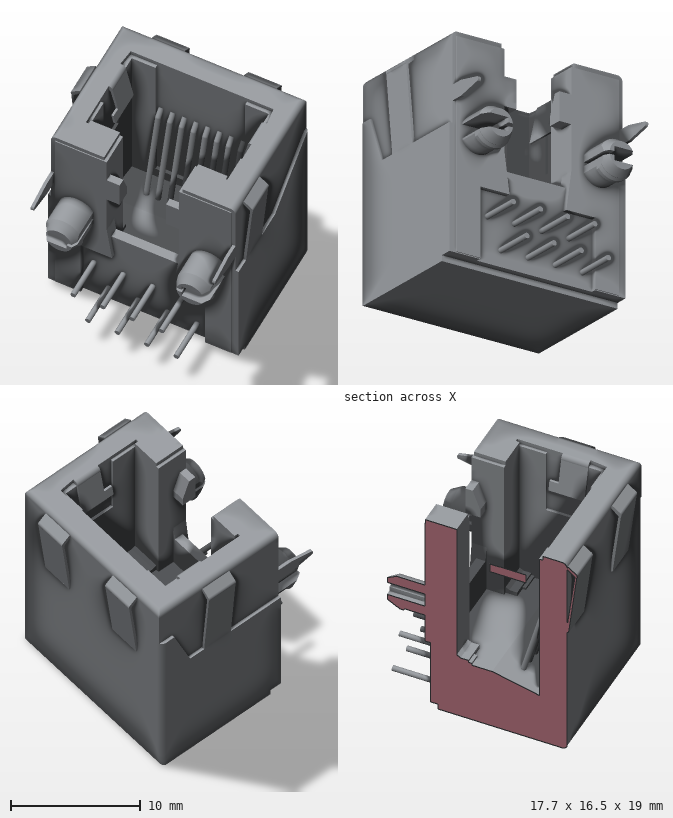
import cadquery as cq


height = 19
outer_width = 17.65
back_y = 12.16
shield_front_y = 0.08
upper_half_width = 7.96
wrapper_sheet = 0.27
lower_half_width = upper_half_width + wrapper_sheet
wrapper_low_z = 11.29
wrapper_high_z = 15.31
edge_radius = 0.48
bottom_step_height = 0.5
bottom_step_y = 1.12
wrapper_ramps = {-1: (10.85, 9.25), 1: (11.68, 6.27)}

housing_half_width = 7.6
housing_top = 18.6
housing_bottom = 0.57

cavity_half_width = 5.9
cavity_front_y = 2.77
cavity_back_y = 9.78
contact_recess_half_width = 3.88
contact_recess_y = 10.09
floor_z = 5.6
floor_edge_y = 5.8
floor_back_z = 4.67
shield_margin = 0.25
relief_y = 2.45
corner_flare = 0.17
side_pocket_y = (5.0, 7.52)
side_pocket_z = 12.9

notch_half_width = 3.12
shield_notch_half_width = 3.38
notch_taper_z = 9.88
notch_foot_z = 6.54
notch_foot_half_width = 2.66
front_wall_back_y = 1.27
front_wall_top_z = 8.6
front_panel_y = 0.48
front_panel_half_width = 5.38

latch_tab_half_gap = 2.0
latch_tab_bottom_z = 13.81
latch_tab_top_z = 16.3
latch_tab_ramp_z = 14.57
latch_tab_top_y = 0.63

tall_step_y = 3.76
tall_step_z = 5.98
tall_step_crest_z = 6.18
tall_step_ramp_y = 3.1
low_step_y = 4.05
low_step_z = 5.8
low_step_half_gap = 4.33

contact_count = 8
contact_span = 7.1
contact_pitch = contact_span / (contact_count - 1)
wire_radius = 0.23
contact_tip = (10.18, 13.2)
contact_bend = (9.61, 12.64)
contact_foot = (7.6, 5.13)
pin_count = 8
pin_span = 8.9
pin_pitch = pin_span / (pin_count - 1)
pin_end_y = -3.12
pin_row_z = (4.4, 1.88)

post_x = 5.68
post_z = 10.74
post_radius = 1.6
post_half_width = 1.4
post_end_y = -3.17
post_taper_y = -2.4
post_end_radius = 1.15
barb_radius = 1.75
barb_back_y = -1.75
barb_tip_y = -2.07
post_gap = 0.32
post_slot = 1.18
post_slot_depth = 2.13

ground_tab_sheet = 0.27
ground_tab_z = 13.8
ground_tab_height = 1.33
ground_tab_taper_y = -1.12
ground_tab_end_y = -3.42
ground_tab_tip_height = 0.38

clip_sheet = 0.25
side_clip_reach = outer_width / 2
side_clip_width = 2.7
side_clip_y = {-1: 6.48, 1: 2.7}
back_clip_reach = 13.03
back_clip_width = 2.83
back_clip_x = 3.97
back_clip_foot_z = 11.95
clip_top_z = 18.7
clip_end_gap = 0.08
clip_bend_high_z = 18.18
clip_bend_low_z = 17.82
clip_bend_setback = 0.1

spring_sheet = 0.19
spring_y = (6.35, 8.65)
spring_tip_x = 5.17
spring_tip_z = 15.7
spring_flare_y = 5.57
spring_flare_z = 16.53
spring_bend_bulge = 0.3

overlap = 0.19


def block(x, y, z):
    """Box between the given (low, high) limits."""
    size = (x[1] - x[0], y[1] - y[0], z[1] - z[0])
    return cq.Workplane("XY").box(*size, centered=False).translate((x[0], y[0], z[0]))


def side_block(side, x, y, z):
    """Box on the +X or -X side, its X limits given as distances from the middle."""
    return block(tuple(sorted((side * x[0], side * x[1]))), y, z)


def yz_prism(points, x):
    """Outline of (Y, Z) points, filled between two X limits."""
    low, high = sorted(x)
    return cq.Workplane("YZ").workplane(offset=low).polyline(points).close().extrude(high - low)


def xz_prism(points, y):
    """Outline of (X, Z) points, filled between two Y limits."""
    low, high = sorted(y)
    return cq.Workplane("XZ").workplane(offset=-high).polyline(points).close().extrude(high - low)


def rod(start, end, radius):
    """Round wire between two points."""
    first = cq.Vector(*start)
    along = cq.Vector(*end) - first
    return cq.Workplane(cq.Solid.makeCylinder(radius, along.Length, first, along))


def make_shell():
    depth = (shield_front_y, back_y)
    plan = block((-lower_half_width, lower_half_width), depth, (0, wrapper_high_z))
    plan = plan.edges("|Z and >Y").fillet(edge_radius)
    rolled = block((-lower_half_width, lower_half_width), depth, (0, wrapper_high_z))
    rolled = rolled.edges("<Z and >Y").fillet(edge_radius)
    lower = plan.intersect(rolled)
    for side, (ramp_top_y, ramp_foot_y) in wrapper_ramps.items():
        above_wrapper = [
            (0, wrapper_low_z),
            (ramp_foot_y, wrapper_low_z),
            (ramp_top_y, wrapper_high_z),
            (0, wrapper_high_z),
        ]
        sheet = (side * upper_half_width, side * (lower_half_width + overlap))
        lower = lower.cut(yz_prism(above_wrapper, sheet))
    lower = lower.cut(
        block((-lower_half_width, lower_half_width), (0, bottom_step_y), (0, bottom_step_height))
    )
    upper = block((-upper_half_width, upper_half_width), depth, (wrapper_high_z, height))
    upper = upper.faces(">Z").edges("|Y or >Y").fillet(edge_radius)
    housing_front = block(
        (-housing_half_width, housing_half_width), (0, shield_front_y), (housing_bottom, housing_top)
    )
    return lower.union(upper).union(housing_front)


def make_cavity():
    floor = [
        (cavity_front_y, floor_z),
        (floor_edge_y, floor_z),
        (cavity_back_y, floor_back_z),
        (cavity_back_y, height),
        (cavity_front_y, height),
    ]
    cavity = yz_prism(floor, (-cavity_half_width, cavity_half_width))
    recess = block(
        (-contact_recess_half_width, contact_recess_half_width),
        (cavity_back_y - overlap, contact_recess_y),
        (floor_z, height),
    )
    cavity = cavity.union(recess)
    for side in (-1, 1):
        pocket = side_block(
            side,
            (cavity_half_width - overlap, cavity_half_width + shield_margin),
            side_pocket_y,
            (side_pocket_z, height),
        )
        cavity = cavity.union(pocket)
    return cavity


def make_shield_opening():
    outer = cavity_half_width + shield_margin
    half_outline = [
        (outer, contact_recess_y),
        (outer + corner_flare, spring_y[1]),
        (outer, spring_y[1]),
        (outer, relief_y),
        (cavity_half_width, relief_y),
        (cavity_half_width, cavity_front_y),
        (shield_notch_half_width, cavity_front_y),
        (shield_notch_half_width, 0),
    ]
    mirrored = [(-x, y) for x, y in reversed(half_outline)]
    plane = cq.Workplane("XY").workplane(offset=housing_top)
    return plane.polyline(half_outline + mirrored).close().extrude(height - housing_top)


def make_latch_notch():
    behind_wall = block(
        (-notch_half_width, notch_half_width),
        (front_wall_back_y, cavity_front_y + overlap),
        (floor_z, height),
    )
    half_outline = [
        (notch_half_width, height),
        (notch_half_width, notch_taper_z),
        (notch_foot_half_width, notch_foot_z),
    ]
    mirrored = [(-x, z) for x, z in reversed(half_outline)]
    front = xz_prism(half_outline + mirrored, (0, front_wall_back_y))
    panel = block(
        (-front_panel_half_width, front_panel_half_width), (0, front_panel_y), (0, notch_foot_z)
    )
    return behind_wall.union(front).union(panel)


def make_front_wall():
    return block(
        (-notch_half_width, notch_half_width),
        (front_panel_y, front_wall_back_y),
        (floor_z, front_wall_top_z),
    )


def make_latch_tab(side):
    profile = [
        (0, latch_tab_bottom_z),
        (front_wall_back_y, latch_tab_bottom_z),
        (front_wall_back_y, latch_tab_ramp_z),
        (latch_tab_top_y, latch_tab_top_z),
        (0, latch_tab_top_z),
    ]
    return yz_prism(profile, (side * latch_tab_half_gap, side * (notch_half_width + overlap)))


def make_floor_steps(side):
    base_z = floor_z - overlap
    tall = [
        (cavity_front_y, base_z),
        (tall_step_y, base_z),
        (tall_step_y, tall_step_z),
        (tall_step_ramp_y, tall_step_z),
        (cavity_front_y, tall_step_crest_z),
    ]
    steps = yz_prism(tall, (side * shield_notch_half_width, side * cavity_half_width))
    low = side_block(
        side, (low_step_half_gap, cavity_half_width), (tall_step_y, low_step_y), (base_z, low_step_z)
    )
    return steps.union(low)


def make_contact(x):
    tip = (x, *contact_tip)
    bend = (x, *contact_bend)
    foot = (x, *contact_foot)
    knuckle = cq.Workplane("XY").sphere(wire_radius).translate(bend)
    return rod(tip, bend, wire_radius).union(rod(bend, foot, wire_radius)).union(knuckle)


def make_solder_pin(x, z):
    return rod((x, front_panel_y + overlap, z), (x, pin_end_y, z), wire_radius)


def make_post(side):
    """Split round post with flat sides, barbed on its lower half."""
    plain = [
        (0, overlap),
        (post_radius, overlap),
        (post_radius, post_taper_y),
        (post_end_radius, post_end_y),
        (0, post_end_y),
    ]
    barb = [
        (0, barb_back_y),
        (barb_radius, barb_back_y),
        (barb_radius, barb_tip_y),
        (post_end_radius, post_end_y),
        (0, post_end_y),
    ]
    sides = (-post_half_width, post_half_width)
    length = (post_end_y, overlap)
    shaft = cq.Workplane("XY").polyline(plain).close().revolve(360, (0, 0), (0, 1))
    shaft = shaft.intersect(block(sides, length, (-post_radius, post_radius)))
    lower_barb = cq.Workplane("XY").polyline(barb).close().revolve(360, (0, 0), (0, 1))
    lower_barb = lower_barb.intersect(block(sides, length, (-barb_radius, 0)))
    gap = block(sides, (post_end_y, 0), (-post_gap / 2, post_gap / 2))
    slot = side_block(
        side,
        (post_half_width - post_slot_depth, post_half_width),
        (post_end_y, 0),
        (-post_slot / 2, post_slot / 2),
    )
    post = shaft.union(lower_barb).cut(gap).cut(slot)
    return post.translate((side * post_x, 0, post_z))


def make_ground_tab(side):
    tip = ground_tab_tip_height / 2
    half = ground_tab_height / 2
    outline = (
        cq.Workplane("YZ")
        .workplane(offset=upper_half_width - ground_tab_sheet)
        .moveTo(shield_front_y + overlap, ground_tab_z - half)
        .lineTo(ground_tab_taper_y, ground_tab_z - half)
        .lineTo(ground_tab_end_y + tip / 2, ground_tab_z - tip)
        .threePointArc((ground_tab_end_y, ground_tab_z), (ground_tab_end_y + tip / 2, ground_tab_z + tip))
        .lineTo(ground_tab_taper_y, ground_tab_z + half)
        .lineTo(shield_front_y + overlap, ground_tab_z + half)
        .close()
    )
    tab = outline.extrude(ground_tab_sheet)
    return tab if side > 0 else tab.mirror("YZ")


def clip_strip(plane, side, face, foot, reach, foot_z, width):
    """Bent strip, rounded at its bend, centred on a plane whose first axis points out of the shield."""
    return (
        cq.Workplane(plane)
        .moveTo(side * foot, foot_z)
        .lineTo(side * (reach - clip_bend_setback / 2), clip_bend_low_z)
        .threePointArc(
            (side * reach, (clip_bend_low_z + clip_bend_high_z) / 2),
            (side * (reach - clip_bend_setback), clip_bend_high_z),
        )
        .lineTo(side * (face + clip_end_gap), clip_top_z)
        .lineTo(side * (face - clip_end_gap), clip_top_z - clip_sheet)
        .lineTo(side * (reach - clip_sheet), clip_bend_low_z)
        .lineTo(side * (foot - clip_sheet), foot_z)
        .close()
        .extrude(width / 2, both=True)
    )


def make_side_clip(side):
    clip = clip_strip(
        "XZ", side, upper_half_width, lower_half_width, side_clip_reach, wrapper_low_z, side_clip_width
    )
    return clip.translate((0, side_clip_y[side], 0))


def make_back_clip(side):
    foot_y = back_y + clip_sheet / 2
    clip = clip_strip("YZ", 1, back_y, foot_y, back_clip_reach, back_clip_foot_z, back_clip_width)
    return clip.translate((side * back_clip_x, 0, 0))


def make_inner_spring(side):
    root_x = cavity_half_width + shield_margin
    bend_x = cavity_half_width - spring_sheet / 2
    middle_y = sum(spring_y) / 2
    bend_middle = (
        bend_x + spring_bend_bulge * (root_x - bend_x),
        height - spring_bend_bulge * (height - housing_top),
    )
    spring = (
        cq.Workplane("XZ")
        .moveTo(root_x + overlap, height)
        .lineTo(root_x, height)
        .threePointArc(bend_middle, (bend_x, housing_top))
        .lineTo(spring_tip_x, spring_tip_z)
        .lineTo(spring_tip_x + spring_sheet, spring_tip_z)
        .lineTo(bend_x + spring_sheet, housing_top - spring_sheet)
        .lineTo(root_x + overlap, housing_top)
        .close()
        .extrude((spring_y[1] - spring_y[0]) / 2, both=True)
        .translate((0, middle_y, 0))
    )
    slope = (bend_x - spring_tip_x) / (housing_top - spring_tip_z)
    flare_top_x = spring_tip_x + slope * (spring_flare_z - spring_tip_z)
    flare = [
        (spring_tip_x, spring_tip_z),
        (flare_top_x, spring_flare_z),
        (flare_top_x + spring_sheet, spring_flare_z),
        (spring_tip_x + spring_sheet, spring_tip_z),
    ]
    spring = spring.union(xz_prism(flare, (spring_flare_y, spring_y[0])))
    return spring if side > 0 else spring.mirror("YZ")


result = make_shell()
for opening in (make_cavity(), make_shield_opening(), make_latch_notch()):
    result = result.cut(opening)
result = result.union(make_front_wall())

for side in (-1, 1):
    result = result.union(make_latch_tab(side))
    result = result.union(make_floor_steps(side))
    result = result.union(make_post(side))
    result = result.union(make_ground_tab(side))
    result = result.union(make_side_clip(side))
    result = result.union(make_back_clip(side))
    result = result.union(make_inner_spring(side))

for index in range(contact_count):
    result = result.union(make_contact(index * contact_pitch - contact_span / 2))

for index in range(pin_count):
    pin_x = index * pin_pitch - pin_span / 2
    result = result.union(make_solder_pin(pin_x, pin_row_z[index % 2]))